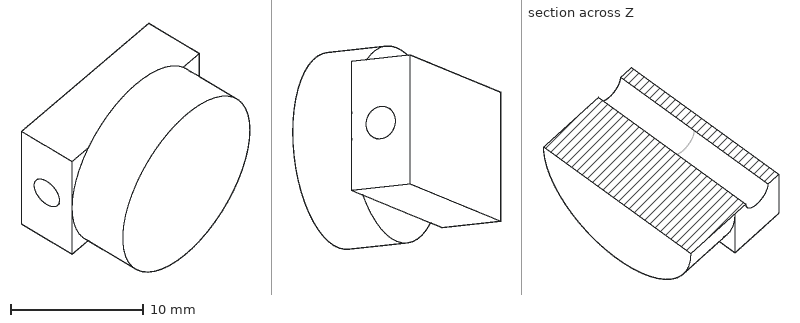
import cadquery as cq

disc_diameter = 15.0
part_depth = disc_diameter * 2 / 3
disc_thickness = part_depth / 2
block_thickness = part_depth - disc_thickness
block_width = disc_diameter
block_height = block_width * 2 / 3
hole_diameter = block_thickness / 2

disc = cq.Workplane("YZ").circle(disc_diameter / 2).extrude(disc_thickness)

block = cq.Workplane("YZ").rect(block_width, block_height).extrude(-block_thickness)

cross_hole = (
    cq.Workplane("XZ")
    .center(-block_thickness / 2, 0)
    .circle(hole_diameter / 2)
    .extrude(block_width / 2, both=True)
)

result = disc.union(block).cut(cross_hole)